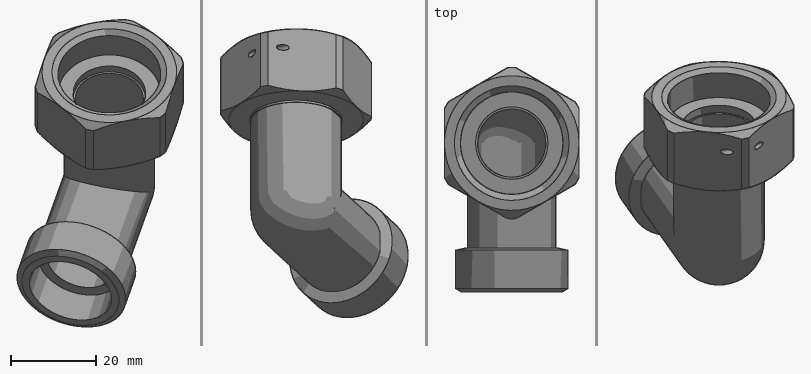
import cadquery as cq
import math


arm_diameter = 21.3
arm_flat_width = 20.8
bore_diameter = 16.0
male_end = 34.95
male_diameter = 26.5
male_length = 10.4
male_chamfer = 1.4
male_back_chamfer_depth = 0.6
male_bore_diameter = 20.0
male_bore_depth = 8.05
seat_angle = 75

nut_top = 39.45
nut_height = 16.15
nut_flats = 31.7
nut_corner_diameter = 35.55
nut_face_diameter = 31.6
nut_bore_diameter = 24.1
nut_mouth_diameter = 26.9
nut_lip_height = 3.15
chamfer_angle = 30
wire_hole_diameter = 1.5
wire_hole_y = 16.0
wire_hole_drop = 5.0

gasket_outer_diameter = 24.0
gasket_bore_diameter = 17.0
gasket_thickness = 2.0
gasket_drop = 7.6

ring_outer_diameter = 21.6
ring_projection = 0.55

nut_bottom = nut_top - nut_height
lip_top = nut_bottom + nut_lip_height
gasket_top = nut_top - gasket_drop
elbow_top = gasket_top - gasket_thickness
ring_bottom = nut_bottom - ring_projection
chamfer_slope = math.tan(math.radians(chamfer_angle))


def cylinder(diameter, bottom, top):
    """Cylinder on the Z axis between two levels."""
    return cq.Workplane("XY").workplane(offset=bottom).circle(diameter / 2).extrude(top - bottom)


def turned(profile):
    """Solid of revolution about Z from (radius, height) points."""
    return cq.Workplane("XZ").polyline(profile).close().revolve(360, (0, 0), (0, 1))


def to_male_axis(body):
    """Turn a body from the +Z axis onto the -Y axis."""
    return body.rotate((0, 0, 0), (1, 0, 0), 90)


def bent_rod(diameter):
    """Two round arms joined by a ball at the origin."""
    nut_arm = cylinder(diameter, 0, elbow_top)
    male_arm = to_male_axis(cylinder(diameter, 0, male_end))
    return nut_arm.union(male_arm).union(cq.Workplane("XY").sphere(diameter / 2))


def male_collar():
    radius = male_diameter / 2
    back = male_end - male_length
    return to_male_axis(turned([
        (0, back),
        (arm_diameter / 2, back),
        (radius, back + male_back_chamfer_depth),
        (radius, male_end - male_chamfer * chamfer_slope),
        (radius - male_chamfer, male_end),
        (0, male_end),
    ]))


def male_bore():
    """Straight counterbore ending in a conical seat that runs into the elbow bore."""
    outer = male_bore_diameter / 2
    inner = bore_diameter / 2
    seat_start = male_end - male_bore_depth
    seat_end = seat_start - (outer - inner) / math.tan(math.radians(seat_angle))
    return to_male_axis(turned([
        (0, seat_end),
        (inner, seat_end),
        (outer, seat_start),
        (outer, male_end),
        (0, male_end),
    ]))


def make_elbow():
    reach = 2 * (male_end + elbow_top)
    arms = bent_rod(arm_diameter).intersect(cq.Workplane("XY").box(arm_flat_width, reach, reach))
    flange = cylinder(gasket_outer_diameter, lip_top, elbow_top)
    return arms.union(flange).union(male_collar()).cut(bent_rod(bore_diameter)).cut(male_bore())


def nut_envelope():
    """Turned blank that rounds the hexagon corners and chamfers both ends."""
    radius = nut_corner_diameter / 2
    face_radius = nut_face_diameter / 2
    chamfer_depth = (radius - face_radius) * chamfer_slope
    return turned([
        (0, nut_bottom),
        (face_radius, nut_bottom),
        (radius, nut_bottom + chamfer_depth),
        (radius, nut_top - chamfer_depth),
        (face_radius, nut_top),
        (0, nut_top),
    ])


def nut_bore():
    """Stepped bore with a chamfered mouth and a lip at the bottom."""
    lip_radius = ring_outer_diameter / 2
    radius = nut_bore_diameter / 2
    mouth_radius = nut_mouth_diameter / 2
    return turned([
        (0, nut_bottom),
        (lip_radius, nut_bottom),
        (lip_radius, lip_top),
        (radius, lip_top),
        (radius, nut_top - (mouth_radius - radius) * chamfer_slope),
        (mouth_radius, nut_top),
        (0, nut_top),
    ])


def make_nut():
    across_corners = nut_flats / math.cos(math.radians(30))
    hexagon = (
        cq.Workplane("XY")
        .workplane(offset=nut_bottom)
        .transformed(rotate=(0, 0, 90))
        .polygon(6, across_corners)
        .extrude(nut_height)
    )
    wire_hole = (
        cq.Workplane("YZ")
        .center(wire_hole_y, nut_top - wire_hole_drop)
        .circle(wire_hole_diameter / 2)
        .extrude(nut_flats / 2, both=True)
    )
    return hexagon.intersect(nut_envelope()).cut(nut_bore()).cut(wire_hole)


def make_gasket():
    blank = cylinder(gasket_outer_diameter, elbow_top, gasket_top)
    return blank.cut(cylinder(gasket_bore_diameter, elbow_top, gasket_top))


def make_retaining_ring(elbow):
    """Sleeve that fills the gap between the flatted elbow arm and the nut lip."""
    return cylinder(ring_outer_diameter, ring_bottom, lip_top).cut(elbow).cut(
        cylinder(bore_diameter, ring_bottom, lip_top)
    )


elbow = make_elbow()
nut = make_nut()
gasket = make_gasket()
retaining_ring = make_retaining_ring(elbow)

result = cq.Compound.makeCompound([elbow.val(), nut.val(), gasket.val(), retaining_ring.val()])